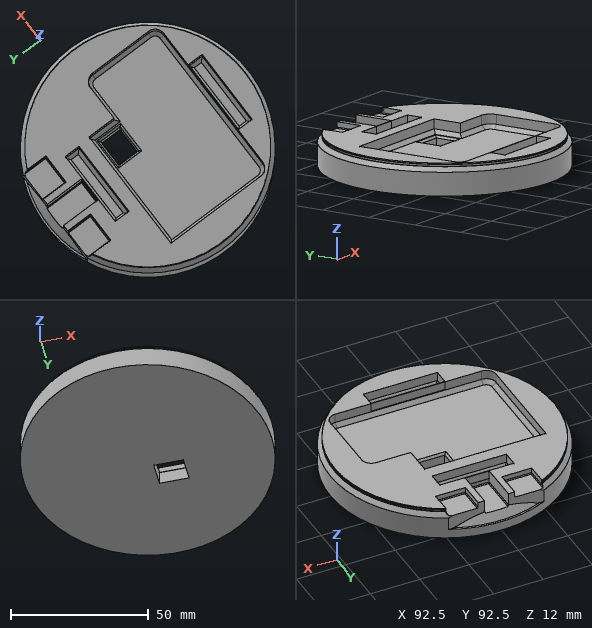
import cadquery as cq

disc_radius = 46.25
height = 12.0
shoulder_z = 9.0
lip_radius = 44.6
neck_radius = 44.2
neck_z = shoulder_z + disc_radius - lip_radius
lip_z = 11.5

flat_y = 42.0
ledge_z = 3.9
bank_foot_radius = 45.4
bank_top_radius = 83.7 / 2
bank_top_z = ledge_z + bank_foot_radius - bank_top_radius

pocket_left = -33.6
pocket_right = 33.5
pocket_front = -29.7
pocket_back = 14.9
step_x = 15.5
step_y = 3.5
pocket_corner_radius = 3.9
pocket_floor_z = 6.75
pocket_bevel = 1.6

window_center = (7.0, 7.5)
window_size = (12.7, 10.5)
window_bevel = 0.8

slot_size = (30.0, 6.2)
slot_center_ys = (23.0, -33.0)
slot_floor_z = 6.9
slot_bevel = 1.5

recess_inner_x = 7.4
recess_outer_x = 19.4
recess_front = 31.6
recess_floor_z = 9.6
recess_bevel = 0.4

channel_width = 9.7
channel_front = 26.4
channel_floor_z = 6.7
channel_bevel = 0.4


def beveled_box(center, size, floor_z, bevel):
    """Cutter up to the top face, with its floor edges beveled."""
    return (
        cq.Workplane("XY", origin=(center[0], center[1], floor_z))
        .rect(*size)
        .extrude(height - floor_z)
        .faces("<Z")
        .chamfer(bevel)
    )


def rim_cutter(x_min, x_max, y_front, floor_z, bevel):
    """Beveled cutter running out past the +Y rim."""
    y_end = disc_radius + 2 * bevel
    center = ((x_min + x_max) / 2, (y_front + y_end) / 2)
    return beveled_box(center, (x_max - x_min, y_end - y_front), floor_z, bevel)


def make_disc():
    profile = [
        (0, 0),
        (disc_radius, 0),
        (disc_radius, shoulder_z),
        (lip_radius, neck_z),
        (neck_radius, neck_z),
        (neck_radius, lip_z),
        (lip_radius, lip_z),
        (lip_radius, height),
        (0, height),
    ]
    return cq.Workplane("XZ").polyline(profile).close().revolve(360, (0, 0), (0, 1))


def make_rim_cut():
    """Block beyond the flat, minus the conical bank that stays on the disc."""
    block = cq.Workplane("XY").box(
        2 * recess_outer_x, disc_radius, height, centered=(True, False, False)
    ).translate((0, flat_y, ledge_z))
    bank_profile = [
        (0, ledge_z),
        (bank_foot_radius, ledge_z),
        (bank_top_radius, bank_top_z),
        (0, bank_top_z),
    ]
    bank = cq.Workplane("XZ").polyline(bank_profile).close().revolve(360, (0, 0), (0, 1))
    return block.cut(bank)


def make_main_pocket():
    outline = [
        (pocket_left, pocket_front),
        (pocket_right, pocket_front),
        (pocket_right, step_y),
        (step_x, step_y),
        (step_x, pocket_back),
        (pocket_left, pocket_back),
    ]
    cutter = (
        cq.Workplane("XY", origin=(0, 0, pocket_floor_z))
        .polyline(outline)
        .close()
        .extrude(height - pocket_floor_z)
    )
    front_corners = cutter.edges("|Z").edges("<Y")
    cutter = front_corners.fillet(pocket_corner_radius)
    cutter = cutter.edges("|Z").edges(">X").fillet(pocket_corner_radius)
    return cutter.faces("<Z").chamfer(pocket_bevel)


def make_window():
    """Beveled opening that narrows to a straight through hole."""
    mouth = beveled_box(window_center, window_size, pocket_floor_z - window_bevel, window_bevel)
    hole = (
        cq.Workplane("XY")
        .center(*window_center)
        .rect(*(side - 2 * window_bevel for side in window_size))
        .extrude(height)
    )
    return mouth.union(hole)


result = make_disc().cut(make_rim_cut()).cut(make_main_pocket()).cut(make_window())

for slot_y in slot_center_ys:
    result = result.cut(beveled_box((0, slot_y), slot_size, slot_floor_z, slot_bevel))

for x_min, x_max in ((-recess_outer_x, -recess_inner_x), (recess_inner_x, recess_outer_x)):
    result = result.cut(rim_cutter(x_min, x_max, recess_front, recess_floor_z, recess_bevel))

result = result.cut(
    rim_cutter(-channel_width / 2, channel_width / 2, channel_front, channel_floor_z, channel_bevel)
)